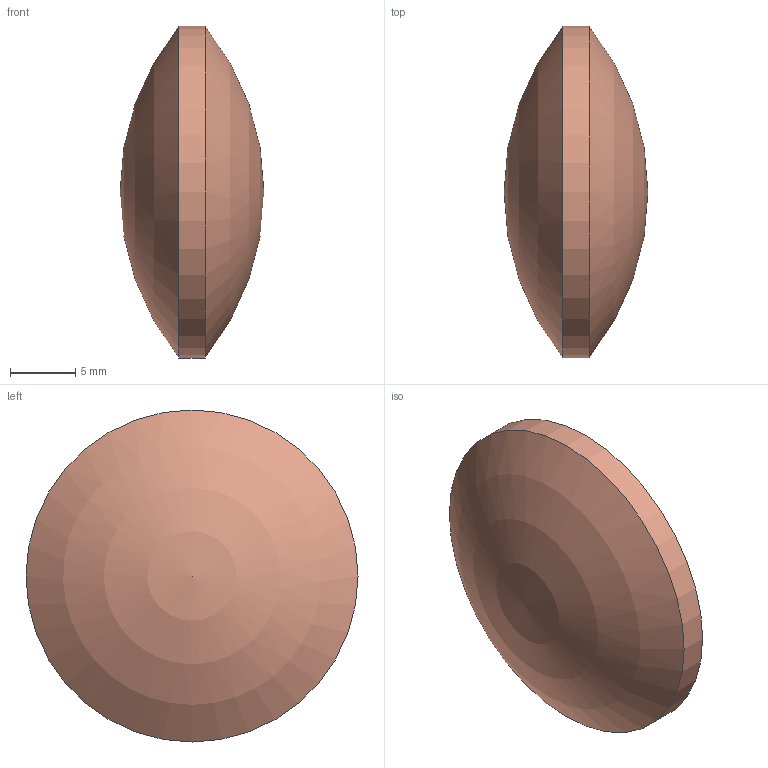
import cadquery as cq

lens_diameter = 25.4
center_thickness = 11.0
edge_thickness = 2.0

rim_radius = lens_diameter / 2
half_center = center_thickness / 2
half_edge = edge_thickness / 2

sag = half_center - half_edge
sphere_radius = (rim_radius**2 + sag**2) / (2 * sag)


def lens_half_section():
    """Half section above the optical axis: axis, dome, cylindrical rim, dome."""
    mid_radius = rim_radius / 2
    mid_x = half_center - sphere_radius + (sphere_radius**2 - mid_radius**2) ** 0.5
    return (
        cq.Workplane("XZ")
        .moveTo(-half_center, 0)
        .lineTo(half_center, 0)
        .threePointArc((mid_x, mid_radius), (half_edge, rim_radius))
        .lineTo(-half_edge, rim_radius)
        .threePointArc((-mid_x, mid_radius), (-half_center, 0))
        .close()
    )


result = lens_half_section().revolve(360, (0, 0, 0), (1, 0, 0))